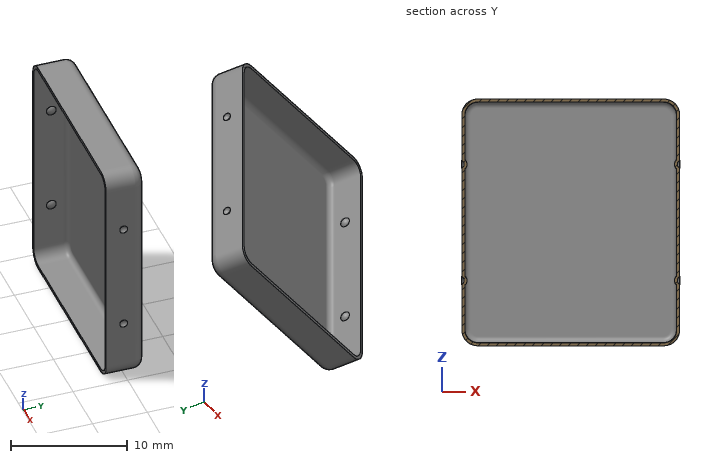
import cadquery as cq
import math

width = 18.8
depth = 3.5
height = 21.3

wall = 0.3
corner_radius = 1.4
back_edge_radius = 0.8
inner_corner_radius = corner_radius - wall
inner_edge_radius = back_edge_radius - wall

hollow_radius = 0.36
hollow_depth = 0.23
bump_radius = 0.45
bump_rise = 0.21
dimple_spacing = 10.01
dimple_from_rim = 1.6

back_y = depth / 2
rim_y = -depth / 2
dimple_y = rim_y + dimple_from_rim


def rounded_block(size_x, size_z, end_y, vertical_radius, edge_radius):
    """Block from the rim to end_y with rounded corners and a rounded back edge."""
    return (
        cq.Workplane("XY")
        .box(size_x, end_y - rim_y, size_z)
        .translate((0, (end_y + rim_y) / 2, 0))
        .edges("|Y")
        .fillet(vertical_radius)
        .faces(">Y")
        .edges()
        .fillet(edge_radius)
    )


def dome(base_x, z, direction, base_radius, rise):
    """Spherical cap standing on the plane x = base_x and rising along X."""
    sphere_radius = (base_radius**2 + rise**2) / (2 * rise)
    half_angle = math.asin(base_radius / sphere_radius) / 2
    arc_middle = (
        rise - sphere_radius * (1 - math.cos(half_angle)),
        sphere_radius * math.sin(half_angle),
    )
    section = cq.Plane((base_x, dimple_y, z), xDir=(direction, 0, 0), normal=(0, -direction, 0))
    return (
        cq.Workplane(section)
        .moveTo(0, 0)
        .lineTo(0, base_radius)
        .threePointArc(arc_middle, (rise, 0))
        .close()
        .revolve(360, (0, 0), (1, 0))
    )


outer = rounded_block(width, height, back_y, corner_radius, back_edge_radius)
cavity = rounded_block(
    width - 2 * wall,
    height - 2 * wall,
    back_y - wall,
    inner_corner_radius,
    inner_edge_radius,
)
result = outer.cut(cavity)

for side in (-1, 1):
    outer_face_x = side * width / 2
    inner_face_x = outer_face_x - side * wall
    for z in (-dimple_spacing / 2, dimple_spacing / 2):
        result = result.union(dome(inner_face_x, z, -side, bump_radius, bump_rise))
        result = result.cut(dome(outer_face_x, z, -side, hollow_radius, hollow_depth))